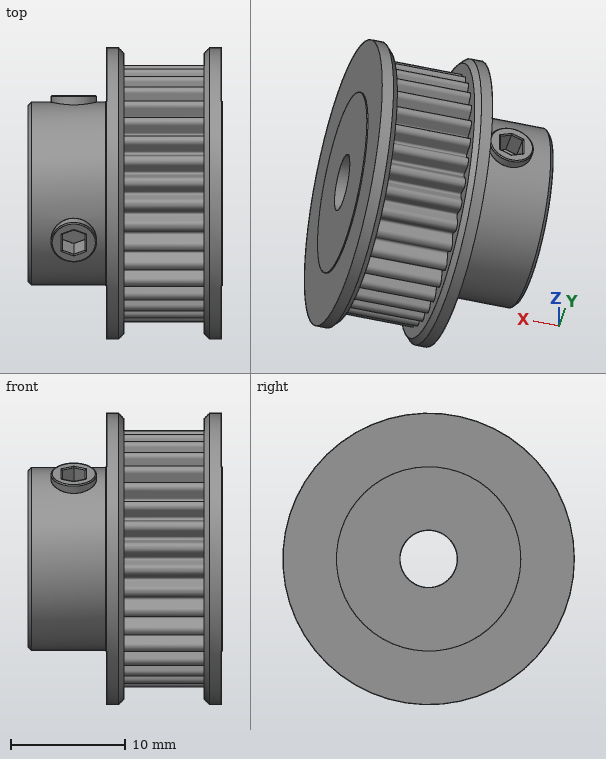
import cadquery as cq
import math


total_length = 17.0
flange_thickness = 1.5
belt_width = 7.0
lip_height = 0.1
right_flange_end = total_length - lip_height
right_flange_start = right_flange_end - flange_thickness
left_flange_end = right_flange_start - belt_width
left_flange_start = left_flange_end - flange_thickness

flange_radius = 12.75
flange_chamfer = 0.48
hub_radius = 8.0
hub_chamfer = 0.3
lip_radius = 8.05
bore_radius = 2.5
bore_chamfer = 0.28

tooth_count = 36
tooth_tip_radius = 11.25
tooth_corner_radius = 0.43
groove_depth = 1.07
groove_bottom_radius = 0.18
flank_angle = math.radians(27)

screw_angles = (0, 120)
screw_x = 4.0
screw_radius = 2.0
inner_hole_radius = 1.63
screw_length = 4.0
screw_top = 8.6
screw_edge_chamfer = 0.1
screw_tip = screw_top - screw_length
socket_width = 2.0
socket_span = 2.45
socket_side = 1.63
socket_depth = 2.0
socket_chamfer = 0.1


def disc(radius, start, end):
    """Solid disc on the X axis between two X positions."""
    return cq.Workplane("YZ", origin=(start, 0, 0)).circle(radius).extrude(end - start)


def groove_half_outline():
    """One side of a groove centred on the first axis, as (radial, sideways) points.

    Returns the groove bottom, the flank's inner and outer ends, the middle of the
    tooth corner and its end on the tip circle.
    """
    bottom = tooth_tip_radius - groove_depth
    bottom_centre = bottom + groove_bottom_radius
    sin_flank = math.sin(flank_angle)
    cos_flank = math.cos(flank_angle)
    inner = (bottom_centre - groove_bottom_radius * sin_flank, groove_bottom_radius * cos_flank)

    base = (inner[0] - tooth_corner_radius * sin_flank, inner[1] + tooth_corner_radius * cos_flank)
    centre_distance = tooth_tip_radius - tooth_corner_radius
    along = base[0] * cos_flank + base[1] * sin_flank
    flank_length = -along + math.sqrt(along**2 + centre_distance**2 - base[0] ** 2 - base[1] ** 2)
    outer = (inner[0] + flank_length * cos_flank, inner[1] + flank_length * sin_flank)
    centre = (base[0] + flank_length * cos_flank, base[1] + flank_length * sin_flank)

    centre_angle = math.atan2(centre[1], centre[0])
    flank_direction = math.atan2(outer[1] - centre[1], outer[0] - centre[0])
    middle_direction = (flank_direction + centre_angle) / 2
    middle = (
        centre[0] + tooth_corner_radius * math.cos(middle_direction),
        centre[1] + tooth_corner_radius * math.sin(middle_direction),
    )
    end = (tooth_tip_radius * math.cos(centre_angle), tooth_tip_radius * math.sin(centre_angle))
    return (bottom, 0.0), inner, outer, middle, end


def rotated(point, angle):
    """The point turned about the pulley axis."""
    x, y = point
    return (
        x * math.cos(angle) - y * math.sin(angle),
        x * math.sin(angle) + y * math.cos(angle),
    )


def mirrored(point):
    """The matching point on the other side of the groove centreline."""
    return (point[0], -point[1])


def make_toothed_rim():
    """Solid toothed cylinder between the flanges, with one groove towards +Y."""
    bottom, inner, outer, corner, end = groove_half_outline()
    pitch_angle = 2 * math.pi / tooth_count
    tip_middle = rotated((tooth_tip_radius, 0), pitch_angle / 2)
    outline = cq.Workplane("YZ", origin=(left_flange_end, 0, 0)).moveTo(*mirrored(end))
    for i in range(tooth_count):
        turn = i * pitch_angle
        outline = (
            outline.threePointArc(rotated(mirrored(corner), turn), rotated(mirrored(outer), turn))
            .lineTo(*rotated(mirrored(inner), turn))
            .threePointArc(rotated(bottom, turn), rotated(inner, turn))
            .lineTo(*rotated(outer, turn))
            .threePointArc(rotated(corner, turn), rotated(end, turn))
            .threePointArc(rotated(tip_middle, turn), rotated(mirrored(end), turn + pitch_angle))
        )
    return outline.close().extrude(belt_width)


def place_screw(upright, angle):
    """Move a shape from the Z axis to a radial position in the hub."""
    return upright.translate((screw_x, 0, 0)).rotate((0, 0, 0), (1, 0, 0), angle - 90)


def make_pulley():
    """Hub, flanges and toothed rim as one solid, with its bore and screw holes."""
    hub = disc(hub_radius, 0, left_flange_start).faces("<X").chamfer(hub_chamfer)
    left_flange = disc(flange_radius, left_flange_start, left_flange_end)
    left_flange = left_flange.faces(">X").chamfer(flange_chamfer)
    right_flange = disc(flange_radius, right_flange_start, right_flange_end)
    right_flange = right_flange.faces("<X").chamfer(flange_chamfer)
    left_lip = disc(lip_radius, left_flange_start - lip_height, left_flange_start)
    right_lip = disc(lip_radius, right_flange_end, total_length)

    pulley = make_toothed_rim()
    for section in (left_flange, right_flange, hub, left_lip, right_lip):
        pulley = pulley.union(section)

    pulley = pulley.cut(disc(bore_radius, 0, total_length))
    countersink = cq.Workplane("YZ").circle(bore_radius + bore_chamfer).extrude(bore_chamfer, taper=45)
    pulley = pulley.cut(countersink)

    for angle in screw_angles:
        inner_hole = cq.Workplane("XY").circle(inner_hole_radius).extrude(screw_tip)
        screw_seat = cq.Workplane("XY", origin=(0, 0, screw_tip)).circle(screw_radius).extrude(screw_length)
        pulley = pulley.cut(place_screw(inner_hole, angle))
        pulley = pulley.cut(place_screw(screw_seat, angle))
    return pulley


def socket_outline(height):
    """Six-sided socket outline at a height on the Z axis."""
    half_width = socket_width / 2
    half_side = socket_side / 2
    half_span = socket_span / 2
    corners = [
        (half_width, -half_side),
        (half_width, half_side),
        (0, half_span),
        (-half_width, half_side),
        (-half_width, -half_side),
        (0, -half_span),
    ]
    return cq.Workplane("XY", origin=(0, 0, height)).polyline(corners).close()


def make_set_screw(angle):
    """Headless screw with a chamfered six-sided socket in its outer end."""
    screw = cq.Workplane("XY", origin=(0, 0, screw_tip)).circle(screw_radius).extrude(screw_length)
    screw = screw.faces(">Z").chamfer(screw_edge_chamfer)
    socket = socket_outline(screw_top - socket_depth).extrude(socket_depth)
    socket_mouth = socket_outline(screw_top - socket_chamfer).extrude(socket_chamfer, taper=-45)
    screw = screw.cut(socket).cut(socket_mouth)
    return place_screw(screw, angle)


pulley = make_pulley()
set_screws = [make_set_screw(angle) for angle in screw_angles]
result = cq.Compound.makeCompound([pulley.val(), *[screw.val() for screw in set_screws]])